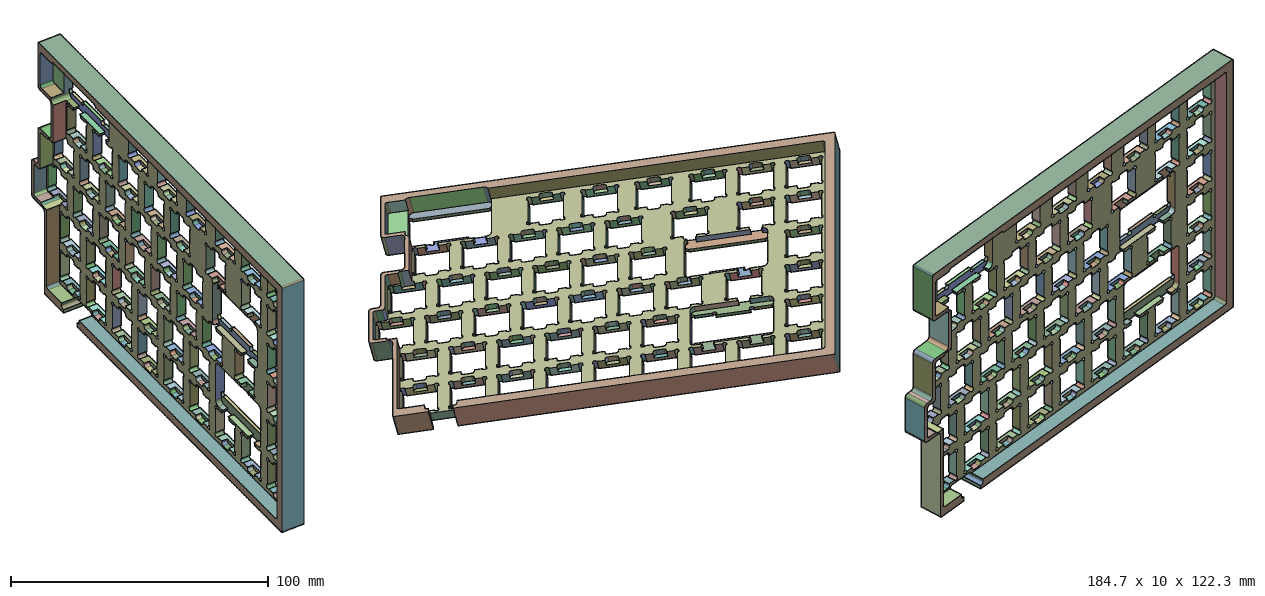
import cadquery as cq

WIDTH = 185.0
DEPTH = 10.0
HEIGHT = 122.3
FRONT_Y = -DEPTH / 2
BACK_Y = DEPTH / 2

PITCH = 19.0
ROW_COUNT = 6
END_WALL = (HEIGHT - ROW_COUNT * PITCH) / 2
RIGHT_WALL = END_WALL
RIGHT_COLUMN_X = WIDTH / 2 - RIGHT_WALL - PITCH / 2
KEY_COLUMNS = [
    [0, 1, 2, 3.125, 4.25, 5.375],
    [0, 1, 2.375, 3.75, 4.75, 5.75, 6.75, 7.75],
    [0, 3.25, 4.25, 5.25, 6.25, 7.25, 8.25],
    [0, 1.25, 2.5, 3.5, 4.5, 5.5, 6.5, 7.5, 8.5],
    [0, 3, 4, 5, 6, 7, 8],
    [0, 1, 2, 3, 4, 5, 6, 7, 8],
]
ROW_ENDS = [8.25, 7.75, 8.25, 8.5, 8, 8]

LEFT_WALL = 1.7
PLATE_THICKNESS = 4.0
LIP_THICKNESS = 1.5
PLATE_Y = BACK_Y - PLATE_THICKNESS
LIP_Y = BACK_Y - LIP_THICKNESS
END_CORNER_RADIUS = 0.5
STEP_CORNER_RADIUS = 1.5
CAVITY_CORNER_RADIUS = 1.1

CUTOUT = 14.0
RELIEF_RADIUS = 1.0
RELIEF_INSET = 0.4
CLIP_WIDTH = 5.4
CLIP_HEIGHT = 17.4
CLIP_RADIUS = 1.1

STABILIZERS = [(0, 7.375, -1), (2, 1.625, -1), (4, 1.5, 1)]
STABILIZER_WIDTH = 33.1
STABILIZER_POCKET_HEIGHT = 21.0
STABILIZER_POCKET_RADIUS = 1.8
TAB_WIDTH = 14.0
TAB_HEIGHT = 1.2

NOTCH_COLUMN = 7.5
NOTCH_MOUTH_WIDTH = 9.8
NOTCH_WIDTH = 13.0
NOTCH_FLOOR = 1.7
NOTCH_TOP = 5.0
NOTCH_RADIUS = 1.3


def column_x(column):
    return RIGHT_COLUMN_X - column * PITCH


def row_z(row):
    return ((ROW_COUNT - 1) / 2 - row) * PITCH


def slab(profile, y_start, y_end):
    """Extrude a profile drawn in X and Z between two Y levels."""
    return profile.extrude(y_start - y_end).translate((0, y_start, 0))


def block(x, z, width, height, y_start, y_end):
    return slab(cq.Workplane("XZ").center(x, z).rect(width, height), y_start, y_end)


def stepped_profile(left_inset, right_inset, end_inset):
    """Frame outline with its left side following the rows, shrunk by the given wall widths."""
    right = WIDTH / 2 - right_inset
    top = HEIGHT / 2 - end_inset
    left = [column_x(end) - PITCH / 2 + left_inset for end in ROW_ENDS]
    points = [(right, -top), (right, top), (left[0], top)]
    for row in range(ROW_COUNT - 1):
        upper, lower = left[row], left[row + 1]
        if upper == lower:
            continue
        inset = left_inset if upper < lower else -left_inset
        step_z = row_z(row + 0.5) + inset
        points += [(upper, step_z), (lower, step_z)]
    points.append((left[-1], -top))
    return cq.Workplane("XZ").polyline(points).close()


def make_frame():
    frame = slab(stepped_profile(0, 0, 0), FRONT_Y, BACK_Y)
    step_edges = cq.selectors.BoxSelector(
        (-WIDTH, -DEPTH, row_z(ROW_COUNT - 1)), (0, DEPTH, row_z(0))
    )
    frame = frame.edges("|Y").edges(step_edges).fillet(STEP_CORNER_RADIUS)
    return frame.faces(">Z or <Z").edges("|Y").fillet(END_CORNER_RADIUS)


def make_cavity():
    cavity = slab(stepped_profile(LEFT_WALL, RIGHT_WALL, END_WALL), FRONT_Y, PLATE_Y)
    return cavity.edges("|Y").fillet(CAVITY_CORNER_RADIUS)


def reliefs(centers, y_start):
    """Round reliefs from the given Y level through to the back face."""
    profile = cq.Workplane("XZ").pushPoints(centers).circle(RELIEF_RADIUS)
    return slab(profile, y_start, BACK_Y)


def switch_cutter(x, z):
    opening = block(x, z, CUTOUT, CUTOUT, FRONT_Y, BACK_Y)
    reach = CUTOUT / 2 - RELIEF_INSET
    corners = [(x + i * reach, z + j * reach) for i in (-1, 1) for j in (-1, 1)]
    clip_slot = block(x, z, CLIP_WIDTH, CLIP_HEIGHT, FRONT_Y, LIP_Y)
    clip_slot = clip_slot.edges("|Y").fillet(CLIP_RADIUS)
    return opening.union(reliefs(corners, FRONT_Y)).union(clip_slot)


def stabilizer_cutter(x, z, tab_side):
    pocket = block(x, z, STABILIZER_WIDTH, STABILIZER_POCKET_HEIGHT, FRONT_Y, LIP_Y)
    pocket = pocket.edges("|Y").fillet(STABILIZER_POCKET_RADIUS)

    opening_z = z + tab_side * TAB_HEIGHT / 2
    opening = block(x, opening_z, STABILIZER_WIDTH, CUTOUT + TAB_HEIGHT, FRONT_Y, BACK_Y)
    tab_z = z + tab_side * (CUTOUT + TAB_HEIGHT) / 2
    tab = block(x, tab_z, TAB_WIDTH, TAB_HEIGHT, LIP_Y, BACK_Y)

    outer_reach = STABILIZER_WIDTH / 2 - RELIEF_INSET
    tab_reach = TAB_WIDTH / 2 + RELIEF_INSET
    plain_z = z - tab_side * (CUTOUT / 2 - RELIEF_INSET)
    tabbed_z = z + tab_side * (CUTOUT / 2 + TAB_HEIGHT - RELIEF_INSET)
    corners = [(x + i * outer_reach, end_z) for i in (-1, 1) for end_z in (plain_z, tabbed_z)]
    corners += [(x + i * tab_reach, tabbed_z) for i in (-1, 1)]
    return opening.cut(tab).union(reliefs(corners, LIP_Y)).union(pocket)


def make_notch():
    x = column_x(NOTCH_COLUMN)
    bottom = -HEIGHT / 2
    mouth = block(x, bottom + NOTCH_TOP / 2, NOTCH_MOUTH_WIDTH, NOTCH_TOP, FRONT_Y, BACK_Y)
    socket_z = bottom + (NOTCH_FLOOR + NOTCH_TOP) / 2
    socket = block(x, socket_z, NOTCH_WIDTH, NOTCH_TOP - NOTCH_FLOOR, FRONT_Y, BACK_Y)
    return mouth.union(socket.edges("|Y").fillet(NOTCH_RADIUS))


switch_cutters = [
    switch_cutter(column_x(column), row_z(row)).val()
    for row, columns in enumerate(KEY_COLUMNS)
    for column in columns
]
stabilizer_cutters = [
    stabilizer_cutter(column_x(column), row_z(row), tab_side).val()
    for row, column, tab_side in STABILIZERS
]
tray = make_frame().cut(make_cavity()).cut(make_notch())
body = tray.val().cut(*switch_cutters).cut(*stabilizer_cutters)
result = cq.Workplane(body.Solids()[0].clean())